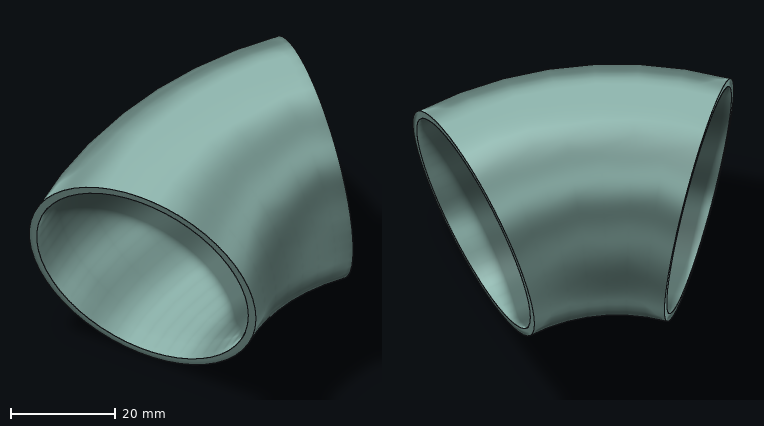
import cadquery as cq
import math

overall_width = 57.9
outer_diameter = 48.3
wall = 1.6
bend_angle = 45.0

outer_radius = outer_diameter / 2
inner_radius = outer_radius - wall

bend_cosine = math.cos(math.radians(bend_angle))
bend_radius = (overall_width - outer_radius * (1 + bend_cosine)) / (1 - bend_cosine)

bend_axis_start = (bend_radius, 0)
bend_axis_end = (bend_radius, -1)

result = (
    cq.Workplane("XZ")
    .circle(outer_radius)
    .circle(inner_radius)
    .revolve(bend_angle, bend_axis_start, bend_axis_end)
)